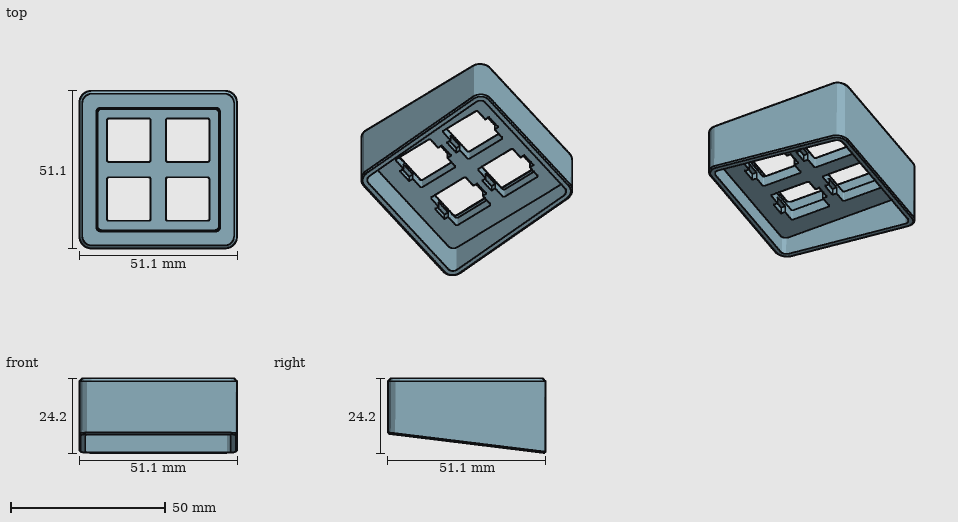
import cadquery as cq
import math

key_pitch = 19.05
keys_per_side = 2
key_hole = 14.0
key_hole_radius = 0.5
clip_notch_width = 5.0
clip_notch_depth = 1.5
clip_lip = 1.5

key_clearance = 0.5
bezel = 6.0
wall = 2.0
well_size = keys_per_side * key_pitch + 2 * key_clearance
case_size = well_size + 2 * bezel
case_radius = 4.0
well_radius = 1.0
top_chamfer = 1.0
well_chamfer = 0.5
bottom_chamfer = 0.5

front_height = 18.0
tilt_angle = 7.0
tilt_drop = case_size * math.tan(math.radians(tilt_angle))
well_depth = 7.5
plate_thickness = 4.0
plate_top = front_height - well_depth
plate_bottom = plate_top - plate_thickness
cut_margin = 1.0


def rounded_block(size, radius, bottom, top):
    """Square block with rounded vertical edges."""
    block = cq.Workplane("XY").workplane(offset=bottom).rect(size, size).extrude(top - bottom)
    return block.edges("|Z").fillet(radius)


def make_outer_body():
    """Rounded block with a sloped underside and chamfered outer rims."""
    body = rounded_block(case_size, case_radius, -tilt_drop, front_height)
    half = case_size / 2
    wedge = (
        cq.Workplane("YZ")
        .polyline([(-half, 0), (half, -tilt_drop), (-half, -tilt_drop)])
        .close()
        .extrude(half, both=True)
    )
    body = body.cut(wedge)
    body = body.faces(">Z").chamfer(top_chamfer)
    return body.faces("<Z").chamfer(bottom_chamfer)


def make_well():
    """Recess around the keys, widened by a chamfer at its mouth."""
    mouth_size = well_size + 2 * well_chamfer
    mouth = (
        cq.Workplane("XY")
        .workplane(offset=front_height)
        .sketch()
        .rect(mouth_size, mouth_size)
        .vertices()
        .fillet(well_radius + well_chamfer)
        .finalize()
        .extrude(-well_chamfer, taper=45)
    )
    return rounded_block(well_size, well_radius, plate_top, front_height).union(mouth)


def make_underside_cavity():
    """Hollow below the key plate, open through the sloped underside."""
    return rounded_block(
        case_size - 2 * wall, case_radius - wall, -tilt_drop - cut_margin, plate_bottom
    )


def make_key_cutout():
    """Square key hole with a clip notch under the lip on its +Y and -Y sides."""
    hole = rounded_block(key_hole, key_hole_radius, plate_bottom - cut_margin, plate_top + cut_margin)
    notch_top = plate_top - clip_lip
    notch_bottom = plate_bottom - cut_margin
    notches = (
        cq.Workplane("XY")
        .workplane(offset=notch_bottom)
        .rect(clip_notch_width, key_hole + 2 * clip_notch_depth)
        .extrude(notch_top - notch_bottom)
    )
    return hole.union(notches)


result = make_outer_body().cut(make_well()).cut(make_underside_cavity())

key_cutout = make_key_cutout()
first_key = -(keys_per_side - 1) * key_pitch / 2
for column in range(keys_per_side):
    for row in range(keys_per_side):
        key_x = first_key + column * key_pitch
        key_y = first_key + row * key_pitch
        result = result.cut(key_cutout.translate((key_x, key_y, 0)))